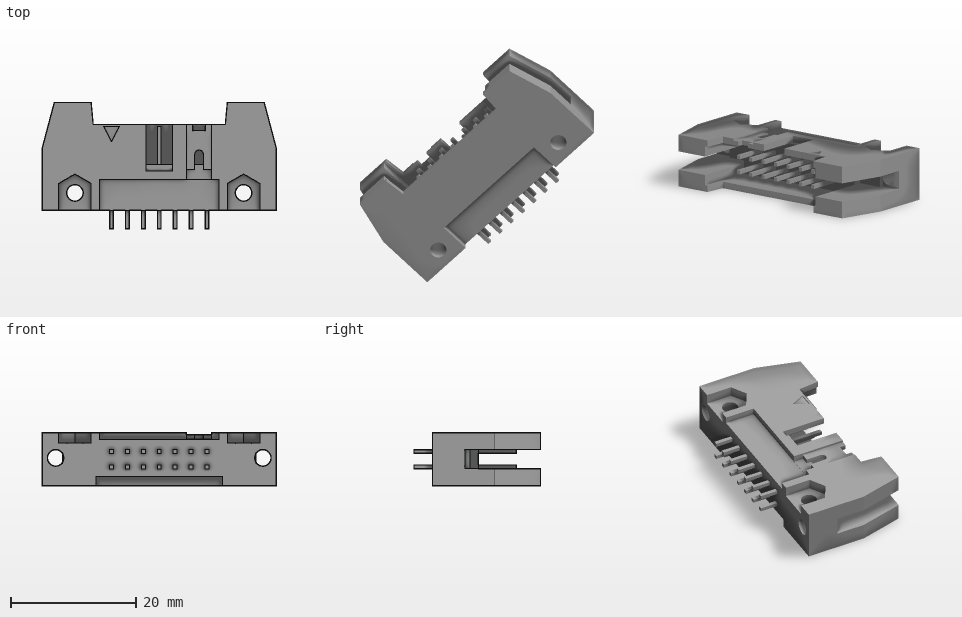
import cadquery as cq
import math


width = 37.4
thickness = 8.5
half_width = width / 2
half_thickness = thickness / 2
ear_tip_y = 17.25
ear_shoulder_y = 9.93
ear_tip_outer_x = 16.76
ear_tip_inner_x = 10.85
mouth_corner_x = 10.53
mouth_y = 13.73

wall = 1.07
cavity_half_width = 11.33
cavity_floor_y = 7.33
cavity_height = thickness - 2 * wall

latch_height = 3.02
latch_outer_floor_y = 5.18
latch_inner_floor_y = 5.97
latch_step_x = 15.44

pins_per_row = 7
pitch = 2.54
row_spacing = 2.46
pin_size = 0.62
pin_tail_y = -2.95
pin_tip_y = 13.4

hole_diameter = 2.6
screw_x = 13.46
screw_y = 2.8
axial_hole_x = 16.53
axial_hole_z = 0.2
nut_flats = 5.2
nut_pocket_depth = 1.7

recess_length = 4.95
top_recess_depth = 1.12
top_recess_half_width = 9.53
bottom_recess_half_width = 10.1
bottom_recess_depth = 1.46

key_width = 4.2
key_floor_y = 6.3

channel_x = 2.5 * pitch
channel_width = 4.05
tongue_y = 6.53
tongue_depth = 0.33
relief_width = 1.37
relief_end_y = 9.63
notch_width = 2.03
notch_length = 1.0

mark_x = -3 * pitch
mark_base_y = 13.43
mark_width = 2.5
mark_length = 2.45
mark_depth = 0.2


def box(x_min, x_max, y_min, y_max, z_min, z_max):
    size = (x_max - x_min, y_max - y_min, z_max - z_min)
    return cq.Workplane("XY").box(*size, centered=False).translate((x_min, y_min, z_min))


def top_pocket(x_centre, pocket_width, y_min, y_max, depth):
    """Rectangular cut sunk into the top face."""
    half = pocket_width / 2
    return box(x_centre - half, x_centre + half, y_min, y_max, half_thickness - depth, half_thickness)


def top_prism(points, depth):
    """Polygonal cut sunk into the top face."""
    return cq.Workplane("XY").workplane(offset=half_thickness - depth).polyline(points).close().extrude(depth)


def housing_block():
    right_side = [
        (half_width, 0),
        (half_width, ear_shoulder_y),
        (ear_tip_outer_x, ear_tip_y),
        (ear_tip_inner_x, ear_tip_y),
        (mouth_corner_x, mouth_y),
    ]
    left_side = [(-x, y) for x, y in reversed(right_side)]
    outline = cq.Workplane("XY").polyline(right_side + left_side).close()
    return outline.extrude(half_thickness, both=True)


def mating_cavity():
    return box(
        -cavity_half_width, cavity_half_width,
        cavity_floor_y, ear_tip_y,
        -cavity_height / 2, cavity_height / 2,
    )


def latch_slot():
    """Stepped slot of the -X ear, open to the side and to the mouth."""
    half = latch_height / 2
    outer = box(-half_width, -latch_step_x, latch_outer_floor_y, ear_tip_y, -half, half)
    inner = box(-latch_step_x, -cavity_half_width, latch_inner_floor_y, ear_tip_y, -half, half)
    return outer.union(inner)


def nut_pocket():
    """Pocket of the -X side, open at the board face and ending in half a hexagon."""
    half_flats = nut_flats / 2
    corner_y = screw_y + half_flats * math.tan(math.pi / 6)
    peak_y = screw_y + half_flats / math.cos(math.pi / 6)
    points = [
        (-screw_x - half_flats, 0),
        (-screw_x + half_flats, 0),
        (-screw_x + half_flats, corner_y),
        (-screw_x, peak_y),
        (-screw_x - half_flats, corner_y),
    ]
    return top_prism(points, nut_pocket_depth)


def screw_hole():
    plane = cq.Workplane("XY", origin=(-screw_x, screw_y, 0))
    return plane.circle(hole_diameter / 2).extrude(half_thickness, both=True)


def axial_hole():
    """Hole along Y from the board face into the latch slot."""
    plane = cq.Workplane("XZ", origin=(-axial_hole_x, 0, axial_hole_z))
    return plane.circle(hole_diameter / 2).extrude(-latch_outer_floor_y)


def board_recesses():
    top = top_pocket(0, 2 * top_recess_half_width, 0, recess_length, top_recess_depth)
    bottom = box(
        -bottom_recess_half_width, bottom_recess_half_width,
        0, recess_length,
        -half_thickness, -half_thickness + bottom_recess_depth,
    )
    return top.union(bottom)


def key_slot():
    return top_pocket(0, key_width, key_floor_y, mouth_y, wall)


def tongue_channel():
    """Shallow channel, deeper next to the recess, with a round-ended relief and a notch at the mouth."""
    radius = relief_width / 2
    arc_centre_y = relief_end_y - radius
    deep_part = top_pocket(channel_x, channel_width, recess_length, tongue_y, wall)
    shallow_part = top_pocket(channel_x, channel_width, tongue_y, mouth_y, tongue_depth)
    notch = top_pocket(channel_x, notch_width, mouth_y - notch_length, mouth_y, wall)
    relief = top_pocket(channel_x, relief_width, tongue_y, arc_centre_y, wall)
    relief_end = (
        cq.Workplane("XY", origin=(channel_x, arc_centre_y, half_thickness - wall))
        .circle(radius)
        .extrude(wall)
    )
    return deep_part.union(shallow_part).union(notch).union(relief).union(relief_end)


def pin_one_mark():
    points = [
        (mark_x - mark_width / 2, mark_base_y),
        (mark_x + mark_width / 2, mark_base_y),
        (mark_x, mark_base_y - mark_length),
    ]
    return top_prism(points, mark_depth)


def pin(x, z):
    half = pin_size / 2
    return box(x - half, x + half, pin_tail_y, pin_tip_y, z - half, z + half)


result = housing_block().cut(mating_cavity())

for side_cut in (latch_slot(), axial_hole(), nut_pocket(), screw_hole()):
    result = result.cut(side_cut).cut(side_cut.mirror("YZ"))

for centre_cut in (board_recesses(), key_slot(), tongue_channel(), pin_one_mark()):
    result = result.cut(centre_cut)

for column in range(pins_per_row):
    pin_x = (column - (pins_per_row - 1) / 2) * pitch
    for pin_z in (-row_spacing / 2, row_spacing / 2):
        result = result.union(pin(pin_x, pin_z))